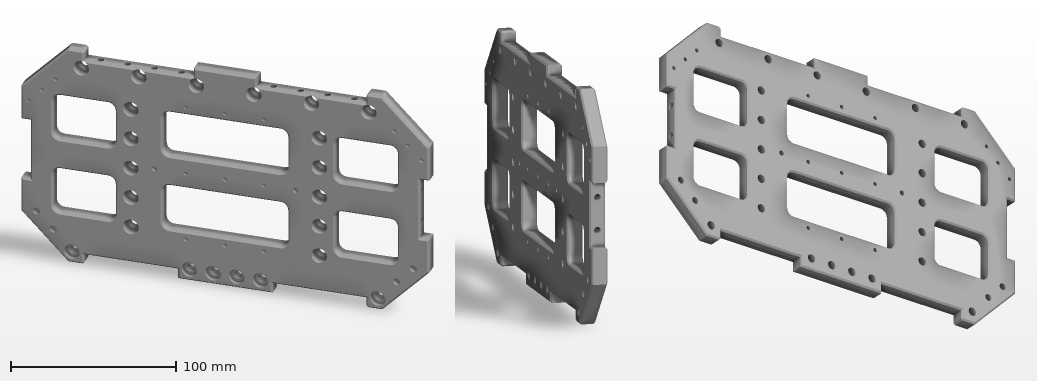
import cadquery as cq
import math

LENGTH = 260.0
HEIGHT = 145.0
THICKNESS = 10.0
CORNER_CUT = 30.0
EDGE_CHAMFER = 1.0

NOTCH_DEPTH = 6.5
END_NOTCH_DEPTH = 6.0
NOTCH_OUTER_X = 90.0
TAB_CHAMFER = 1.0
TOP_TAB_HALF_WIDTH = 20.0
BOTTOM_TAB_HALF_WIDTH = 30.2
END_NOTCH_HALF_HEIGHT = 20.0

WINDOW_HEIGHT = 30.2
WINDOW_Z = 25.0
WINDOW_RADIUS = 5.0
MIDDLE_WINDOW_WIDTH = 80.0
SIDE_WINDOW_WIDTH = 40.0
SIDE_WINDOW_X = 90.0

SCREW_DIAMETER = 5.5
COUNTERBORE_DIAMETER = 10.0
COUNTERBORE_DEPTH = 5.2
BOTTOM_COUNTERBORE_DEPTH = 2.5
TOP_SCREW_COUNT = 6
TOP_SCREW_PITCH = 36.7
TOP_SCREW_Z = 60.8
COLUMN_SCREW_COUNT = 5
COLUMN_SCREW_PITCH = 20.0
COLUMN_SCREW_X = 60.0
COLUMN_SCREW_Z = -2.0
BOTTOM_SCREW_COUNT = 4
BOTTOM_SCREW_PITCH = 15.0
BOTTOM_SCREW_Z = -65.0
CORNER_SCREW_X = 97.5

SMALL_DIAMETER = 2.5
GRID_COUNT = 3
GRID_PITCH_X = 25.0
GRID_PITCH_Z = 45.0
DIAGONAL_COUNT = 3
DIAGONAL_PITCH = 8.5
DIAGONAL_X = 116.7
DIAGONAL_Z = 42.0
LOCATING_DIAMETER = 3.5
LOCATING_X = 45.0
LOWER_DIAMETER = 4.5
LOWER_HOLES = [(120.0, -41.0), (109.5, -51.7)]

EDGE_HOLE_DIAMETER = 4.2
EDGE_HOLE_DEPTH = 10.5
DRILL_TIP_ANGLE = 118.0
TOP_EDGE_GROUP_X = 55.0
TOP_EDGE_PITCH = 17.2
TOP_EDGE_COUNT = 4
END_HOLE_Z = 10.1

FRONT_Y = -THICKNESS / 2
SIDES = (-1, 1)


def row(count, pitch, centre=0.0):
    """Evenly spaced positions about a centre."""
    return [centre + (i - (count - 1) / 2) * pitch for i in range(count)]


def both_sides(points):
    """The points together with their mirror images across X = 0."""
    return [(side * x, z) for side in SIDES for x, z in points]


def extrude_through(sketch):
    """Extrude an XZ sketch over the full plate thickness."""
    return sketch.extrude(THICKNESS / 2, both=True)


def cylinders(points, diameter, depth=THICKNESS):
    """Hole cutters running from the front face toward +Y."""
    plane = cq.Workplane("XZ", origin=(0, FRONT_Y, 0))
    return plane.pushPoints(points).circle(diameter / 2).extrude(-depth)


def plate():
    end, edge = LENGTH / 2, HEIGHT / 2
    end_floor, edge_floor = end - END_NOTCH_DEPTH, edge - NOTCH_DEPTH
    right_half = [
        (TOP_TAB_HALF_WIDTH, edge),
        (TOP_TAB_HALF_WIDTH, edge_floor),
        (NOTCH_OUTER_X, edge_floor),
        (NOTCH_OUTER_X, edge - TAB_CHAMFER),
        (NOTCH_OUTER_X + TAB_CHAMFER, edge),
        (end - CORNER_CUT, edge),
        (end, edge - CORNER_CUT),
        (end, END_NOTCH_HALF_HEIGHT),
        (end_floor, END_NOTCH_HALF_HEIGHT),
        (end_floor, -END_NOTCH_HALF_HEIGHT),
        (end, -END_NOTCH_HALF_HEIGHT),
        (end, CORNER_CUT - edge),
        (end - CORNER_CUT, -edge),
        (NOTCH_OUTER_X + TAB_CHAMFER, -edge),
        (NOTCH_OUTER_X, TAB_CHAMFER - edge),
        (NOTCH_OUTER_X, -edge_floor),
        (BOTTOM_TAB_HALF_WIDTH, -edge_floor),
        (BOTTOM_TAB_HALF_WIDTH, -edge),
    ]
    left_half = [(-x, z) for x, z in reversed(right_half)]
    return extrude_through(cq.Workplane("XZ").polyline(right_half + left_half).close())


def windows():
    rows = (-WINDOW_Z, WINDOW_Z)
    middle_points = [(0, z) for z in rows]
    middle = cq.Workplane("XZ").pushPoints(middle_points).rect(MIDDLE_WINDOW_WIDTH, WINDOW_HEIGHT)
    side_points = both_sides([(SIDE_WINDOW_X, z) for z in rows])
    side = cq.Workplane("XZ").pushPoints(side_points).rect(SIDE_WINDOW_WIDTH, WINDOW_HEIGHT)
    cutter = extrude_through(middle).add(extrude_through(side)).combine()
    return cutter.edges("|Y").fillet(WINDOW_RADIUS)


def counterbored(points, counterbore_depth):
    counterbores = cylinders(points, COUNTERBORE_DIAMETER, counterbore_depth)
    return cylinders(points, SCREW_DIAMETER).union(counterbores)


def screw_holes():
    upper = [(x, TOP_SCREW_Z) for x in row(TOP_SCREW_COUNT, TOP_SCREW_PITCH)]
    column = row(COLUMN_SCREW_COUNT, COLUMN_SCREW_PITCH, COLUMN_SCREW_Z)
    upper += both_sides([(COLUMN_SCREW_X, z) for z in column])
    bottom = [(x, BOTTOM_SCREW_Z) for x in row(BOTTOM_SCREW_COUNT, BOTTOM_SCREW_PITCH)]
    bottom += both_sides([(CORNER_SCREW_X, BOTTOM_SCREW_Z)])
    upper_holes = counterbored(upper, COUNTERBORE_DEPTH)
    return upper_holes.union(counterbored(bottom, BOTTOM_COUNTERBORE_DEPTH))


def plain_holes():
    small = [(x, z) for x in row(GRID_COUNT, GRID_PITCH_X) for z in row(GRID_COUNT, GRID_PITCH_Z)]
    steps = row(DIAGONAL_COUNT, DIAGONAL_PITCH)
    small += both_sides([(DIAGONAL_X + step, DIAGONAL_Z - step) for step in steps])
    holes = cylinders(small, SMALL_DIAMETER)
    holes = holes.union(cylinders(both_sides([(LOCATING_X, 0)]), LOCATING_DIAMETER))
    return holes.union(cylinders(both_sides(LOWER_HOLES), LOWER_DIAMETER))


def drilled_holes(points, inward):
    """Blind drilled holes with conical tips, running along a unit vector."""
    radius = EDGE_HOLE_DIAMETER / 2
    tip_length = radius / math.tan(math.radians(DRILL_TIP_ANGLE / 2))
    direction = cq.Vector(*inward)
    holes = cq.Workplane()
    for point in points:
        start = cq.Vector(*point)
        tip = start + direction * EDGE_HOLE_DEPTH
        holes = holes.add(cq.Solid.makeCylinder(radius, EDGE_HOLE_DEPTH, start, direction))
        holes = holes.add(cq.Solid.makeCone(radius, 0, tip_length, tip, direction))
    return holes.combine()


def edge_holes():
    top_floor = HEIGHT / 2 - NOTCH_DEPTH
    end_floor = LENGTH / 2 - END_NOTCH_DEPTH
    holes = cq.Workplane()
    for side in SIDES:
        group = row(TOP_EDGE_COUNT, TOP_EDGE_PITCH, side * TOP_EDGE_GROUP_X)
        holes = holes.add(drilled_holes([(x, 0, top_floor) for x in group], (0, 0, -1)))
        end_points = [(side * end_floor, 0, z) for z in (-END_HOLE_Z, END_HOLE_Z)]
        holes = holes.add(drilled_holes(end_points, (-side, 0, 0)))
    return holes.combine()


body = plate().cut(windows())
body = body.faces("<Y or >Y").edges().chamfer(EDGE_CHAMFER)
result = body.cut(screw_holes()).cut(plain_holes()).cut(edge_holes())